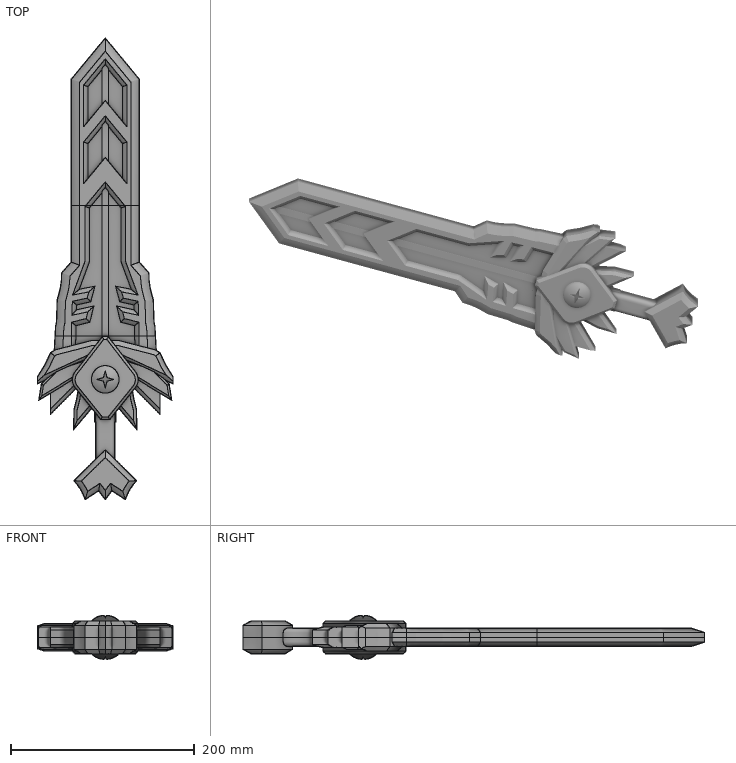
import cadquery as cq
import math


OVERALL_LENGTH = 502.86
TIP_Y = 371.87
POMMEL_Y = TIP_Y - OVERALL_LENGTH
TIP_SEAM_Y = 189.3
HILT_SEAM_Y = 47.0

BLADE_HALF_WIDTH = 37.1
SHOULDER_Y = 327.0
TIP_SLOPE = (TIP_Y - SHOULDER_Y) / BLADE_HALF_WIDTH
BLADE_TOP = 10.0
BLADE_EDGE_TOP = 5.3
BLADE_BEVEL = 9.2
BLADE_END_Y = 25.0

PANEL_DEPTH = 5.0
PANEL_FLOOR = BLADE_TOP - PANEL_DEPTH
PANEL_WALL_RUN = 4.7
PANEL_HALF_WIDTH = 23.5
PANEL_APEX_YS = (349.0, 287.0)
PANEL_LENGTH = 45.3
PANEL_OVERRUN = 20.0
LONG_PANEL_APEX_Y = 215.0
LONG_PANEL_HALF_WIDTH = 22.0
LONG_PANEL_END_Y = 30.0
BAR_BEVEL = 4.8
BAR_ROOT_X = 44.0
RIB_HALF_WIDTH = 3.8
RIB_HEIGHT = 1.0

HALF_SPAN = 148.01 / 2
THIRD_FIN_SIDE_X = 59.8

DIAMOND_HALF_WIDTH = 39.6
DIAMOND_SIDE_Y = -0.5
DIAMOND_FRONT_Y = 46.6
DIAMOND_FRONT_HALF_WIDTH = 3.2
DIAMOND_BACK_Y = -43.9
DIAMOND_BACK_HALF_WIDTH = 4.7
DIAMOND_TOP = 18.0
DIAMOND_CHAMFER = 3.0
DIAMOND_SIDE_RADIUS = 14.0
DOME_RADIUS = 15.0
DOME_TOP = 24.0
STAR_REACH = 9.2
STAR_WAIST = 2.0
STAR_FLOOR = 19.0

HANDLE_HALF_WIDTH = 10.5
HANDLE_TOP = 10.0
HANDLE_ROUND = 5.0
HANDLE_END_Y = -95.0
COLLAR_HALF_WIDTH = 11.6
COLLAR_END_Y = -46.2
COLLAR_TOP = 5.0
POMMEL_TOP = 18.0
POMMEL_WALL_TOP = 13.0
POMMEL_BEVEL = 6.0

BLOCK_REACH = 400.0
BLOCK_HEIGHT = 50.0


def mirrored(point):
    return (-point[0], point[1])


def symmetric_outline(start, segments):
    """Closed outline from its right half; a segment is (end,) for a line or (middle, end) for an arc."""
    outline = cq.Workplane("XY").moveTo(*start)
    corners = [start] + [segment[-1] for segment in segments]
    for segment in segments:
        if len(segment) == 1:
            outline = outline.lineTo(*segment[0])
        else:
            outline = outline.threePointArc(*segment)
    for segment, corner in reversed(list(zip(segments, corners))):
        if len(segment) == 1:
            outline = outline.lineTo(*mirrored(corner))
        else:
            outline = outline.threePointArc(mirrored(segment[0]), mirrored(corner))
    return outline.close()


def symmetric_polygon(half):
    return symmetric_outline(half[0], [(point,) for point in half[1:]])


def polygon(points):
    return cq.Workplane("XY").polyline(points).close()


def bevelled_prism(outline, wall_top, top, run):
    """Upright wall from the mid-plane to wall_top, then a bevel leaning inwards by run up to top."""
    base = outline.wire().val()
    foot = base.translate(cq.Vector(0, 0, wall_top))
    brow = foot.offset2D(-run, "intersection")[0].translate(cq.Vector(0, 0, top - wall_top))
    wall = cq.Workplane("XY").add(base).toPending().extrude(wall_top)
    bevel = cq.Workplane(cq.Solid.makeLoft([foot, brow], True))
    return wall.union(bevel)


def box(x_range, y_range, z_range):
    size = [high - low for low, high in (x_range, y_range, z_range)]
    corner = (x_range[0], y_range[0], z_range[0])
    return cq.Workplane("XY").box(*size, centered=False).translate(corner)


def blade_blank():
    outline = symmetric_outline(
        (0, TIP_Y),
        [
            ((BLADE_HALF_WIDTH, SHOULDER_Y),),
            ((BLADE_HALF_WIDTH, 127.8),),
            ((47.6, 116.0),),
            ((48.3, 104.0), (51.0, 91.5)),
            ((52.5, 86.4),),
            ((53.2, 62.2),),
            ((54.2, 57.7),),
            ((56.0, BLADE_END_Y),),
            ((0, BLADE_END_Y),),
        ],
    )
    return bevelled_prism(outline, BLADE_EDGE_TOP, BLADE_TOP, BLADE_BEVEL)


def sunken(outline):
    """Cutter below the blade face whose walls lean inwards towards the floor."""
    angle = math.degrees(math.atan2(PANEL_WALL_RUN, PANEL_DEPTH))
    cutter = outline.extrude(PANEL_DEPTH, taper=angle)
    return cutter.mirror("XY").translate((0, 0, BLADE_TOP))


def chevron_panel(apex_y):
    """Arrow-headed panel: leaning head and side walls, upright V-shaped foot."""
    drop = PANEL_HALF_WIDTH * TIP_SLOPE
    foot_y = apex_y - PANEL_LENGTH
    head = [(0, apex_y), (PANEL_HALF_WIDTH, apex_y - drop)]
    overrun_y = foot_y - drop - PANEL_OVERRUN
    leaning = sunken(symmetric_polygon(head + [(PANEL_HALF_WIDTH, overrun_y), (0, overrun_y)]))
    kept = symmetric_polygon(head + [(PANEL_HALF_WIDTH, foot_y - drop), (0, foot_y)]).extrude(BLADE_TOP)
    return leaning.intersect(kept)


def long_panel():
    """Panel that widens towards the guard."""
    return sunken(
        symmetric_polygon(
            [
                (0, LONG_PANEL_APEX_Y),
                (LONG_PANEL_HALF_WIDTH, LONG_PANEL_APEX_Y - LONG_PANEL_HALF_WIDTH * TIP_SLOPE),
                (LONG_PANEL_HALF_WIDTH, 128.7),
                (35.6, 92.0),
                (36.6, 62.0),
                (37.0, LONG_PANEL_END_Y),
                (0, LONG_PANEL_END_Y),
            ]
        )
    )


def rim_bars():
    """Two pairs of bars that reach in from the rims of the long panel, up to the blade face."""
    bars = []
    for points in (
        [(11.2, 101.5), (15.8, 84.5), (BAR_ROOT_X, 78.3), (BAR_ROOT_X, 95.1)],
        [(12.4, 79.9), (16.8, 62.3), (BAR_ROOT_X, 55.4), (BAR_ROOT_X, 73.1)],
    ):
        bar = bevelled_prism(polygon(points), PANEL_FLOOR, BLADE_TOP, BAR_BEVEL)
        bars += [bar, bar.mirror("YZ")]
    return bars


def blade():
    rib = box(
        (-RIB_HALF_WIDTH, RIB_HALF_WIDTH),
        (BLADE_END_Y, TIP_Y),
        (PANEL_FLOOR, PANEL_FLOOR + RIB_HEIGHT),
    )
    body = blade_blank()
    for panel in [chevron_panel(apex_y) for apex_y in PANEL_APEX_YS] + [long_panel()]:
        body = body.cut(panel.cut(rib))
    for bar in rim_bars():
        body = body.union(bar)
    return body


def fins():
    """The four fins on the +X side, from the blade towards the handle."""
    first = [
        (0, 42.5),
        (14.2, 42.5),
        (55.0, 32.0),
        (59.5, 29.2),
        (66.0, 15.6),
        (80.7, -8.1),
        (17.2, 21.3),
        (0, 21.3),
    ]
    second = [(0, 30), (52.0, 13.0), (69.7, -5.2), (72.5, -23.0), (35.9, -0.6), (0, -0.6)]
    third = [(0, 32), (40.0, 8.0), (70.0, -12.0), (70.0, -48.5), (20.0, 2.0), (0, 2.0)]
    fourth = [
        (0, -11.0),
        (29.0, -8.0),
        (31.2, -21.0),
        (34.1, -32.6),
        (34.6, -55.0),
        (16.0, -33.0),
        (11.0, -28.0),
        (0, -28.0),
    ]
    shapes = []
    for points, wall_top, top, run in (
        (first, 10.0, 15.0, 5.5),
        (second, 11.0, 13.0, 2.5),
        (third, 8.0, 11.0, 4.0),
        (fourth, 8.0, 11.0, 3.5),
    ):
        shapes.append(bevelled_prism(polygon(points), wall_top, top, run))
    for index, side_x in ((0, HALF_SPAN), (2, THIRD_FIN_SIDE_X)):
        kept = box((0, side_x), (-BLOCK_REACH, BLOCK_REACH), (0, BLOCK_HEIGHT))
        shapes[index] = shapes[index].intersect(kept)
    return shapes


def diamond():
    """Guard plate with blunt ends, rounded sides and a chamfered face."""
    plate = symmetric_polygon(
        [
            (0, DIAMOND_FRONT_Y),
            (DIAMOND_FRONT_HALF_WIDTH, DIAMOND_FRONT_Y),
            (DIAMOND_HALF_WIDTH, DIAMOND_SIDE_Y),
            (DIAMOND_BACK_HALF_WIDTH, DIAMOND_BACK_Y),
            (0, DIAMOND_BACK_Y),
        ]
    ).extrude(DIAMOND_TOP)
    for side in (-1, 1):
        corner = (side * DIAMOND_HALF_WIDTH, DIAMOND_SIDE_Y, DIAMOND_TOP / 2)
        plate = plate.edges(cq.selectors.NearestToPointSelector(corner)).fillet(DIAMOND_SIDE_RADIUS)
    return plate.faces(">Z").chamfer(DIAMOND_CHAMFER)


def dome():
    """Screw head: a spherical cap, and the cutter of its four-pointed driver recess."""
    waist_radius = STAR_WAIST * math.sqrt(2)
    rise = DOME_TOP - DIAMOND_TOP
    centre_z = (DOME_TOP**2 + waist_radius**2 - DIAMOND_TOP**2 - DOME_RADIUS**2) / (2 * rise)
    sphere_radius = math.hypot(DOME_RADIUS, DIAMOND_TOP - centre_z)
    cap = cq.Workplane("XY").sphere(sphere_radius).translate((0, 0, centre_z))
    cap = cap.intersect(cq.Workplane("XY").circle(DOME_RADIUS).extrude(BLOCK_HEIGHT))
    star = symmetric_polygon(
        [
            (0, STAR_REACH),
            (STAR_WAIST, STAR_WAIST),
            (STAR_REACH, 0),
            (STAR_WAIST, -STAR_WAIST),
            (0, -STAR_REACH),
        ]
    )
    recess = star.extrude(BLOCK_HEIGHT).translate((0, 0, STAR_FLOOR))
    return cap, recess


def handle():
    """Upper half of the rounded grip, with a low collar next to the guard."""
    grip = box((-HANDLE_HALF_WIDTH, HANDLE_HALF_WIDTH), (HANDLE_END_Y, 0), (-HANDLE_TOP, HANDLE_TOP))
    grip = grip.edges("|Y").fillet(HANDLE_ROUND)
    grip = grip.intersect(slab((HANDLE_END_Y, 0)))
    collar = box((-COLLAR_HALF_WIDTH, COLLAR_HALF_WIDTH), (COLLAR_END_Y, 0), (0, COLLAR_TOP))
    return grip.union(collar)


def pommel():
    outline = symmetric_outline(
        (0, -76.8),
        [
            ((34.2, -110.3),),
            ((27.2, -119.5), (22.0, POMMEL_Y)),
            ((7.2, -121.4),),
            ((0, POMMEL_Y),),
        ],
    )
    return bevelled_prism(outline, POMMEL_WALL_TOP, POMMEL_TOP, POMMEL_BEVEL)


def slab(y_range):
    """Block above the mid-plane that keeps one stretch of the length."""
    return box((-BLOCK_REACH, BLOCK_REACH), y_range, (0, BLOCK_HEIGHT))


def hilt_half(whole_blade):
    body = whole_blade.intersect(slab((0, HILT_SEAM_Y)))
    for fin in fins():
        body = body.union(fin).union(fin.mirror("YZ"))
    cap, recess = dome()
    return body.union(handle()).union(pommel()).union(diamond()).union(cap).cut(recess)


upper_blade = blade()
tip_upper = upper_blade.intersect(slab((TIP_SEAM_Y, BLOCK_REACH)))
middle_upper = upper_blade.intersect(slab((HILT_SEAM_Y, TIP_SEAM_Y)))
hilt_upper = hilt_half(upper_blade)

halves = []
for upper in (tip_upper, middle_upper, hilt_upper):
    lower = upper.mirror("XY")
    halves += [*upper.solids().vals(), *lower.solids().vals()]

result = cq.Compound.makeCompound(halves)